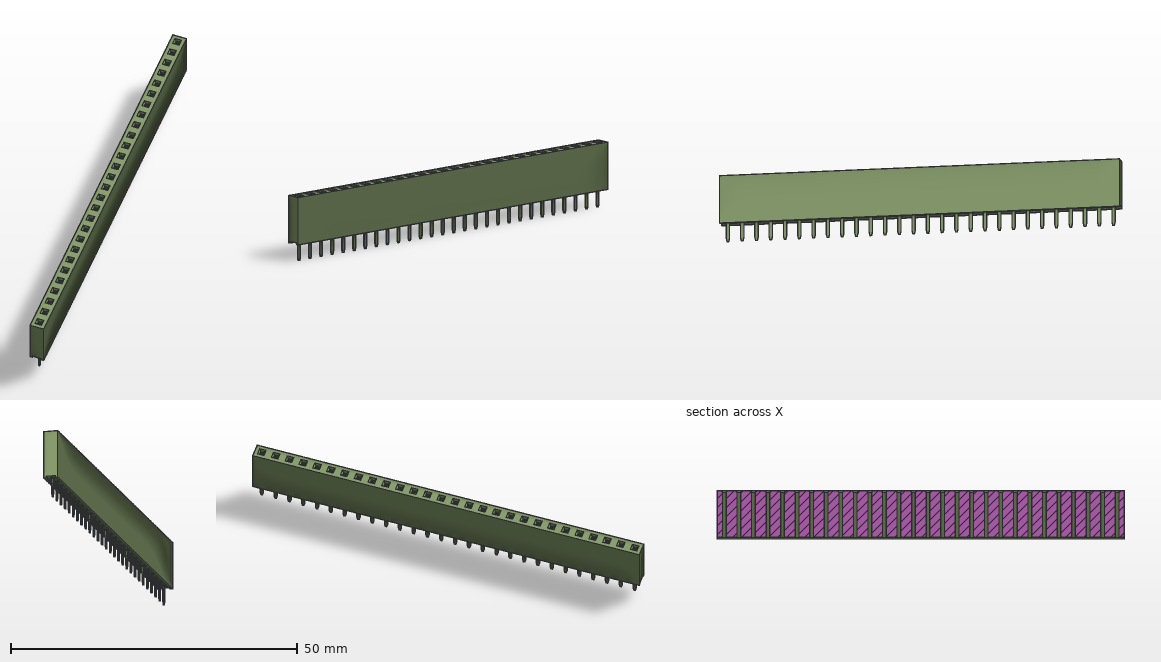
import cadquery as cq

contact_count = 28
length = 71.1
pitch = length / contact_count
width = pitch
housing_height = 8.45
total_height = 11.6

channel_width = 1.7
channel_depth = 0.3

pin_thickness = 0.2
pin_width = 0.6
tip_width = 0.3
tip_height = 0.6
pin_top = 6.7
pin_bottom = housing_height - total_height

mouth_size = 1.2
slot_size = pin_width
funnel_depth = (mouth_size - slot_size) / 2

first_contact_y = -(length - pitch) / 2
contact_positions = [first_contact_y + i * pitch for i in range(contact_count)]


def make_housing():
    """Bar with a full-length channel between two rails on its underside."""
    from_base = (True, True, False)
    bar = cq.Workplane("XY").box(width, length, housing_height, centered=from_base)
    channel = cq.Workplane("XY").box(channel_width, length, channel_depth, centered=from_base)
    return bar.cut(channel)


def make_socket():
    """Space of one socket: square funnel above a square slot that ends at the channel roof."""
    funnel = (
        cq.Workplane("XY", origin=(0, 0, housing_height))
        .rect(mouth_size, mouth_size)
        .workplane(offset=-funnel_depth)
        .rect(slot_size, slot_size)
        .loft(combine=True)
    )
    slot = (
        cq.Workplane("XY", origin=(0, 0, channel_depth))
        .rect(slot_size, slot_size)
        .extrude(housing_height - funnel_depth - channel_depth)
    )
    return funnel.union(slot)


def make_pin():
    """Flat pin that spans the slot in Y, its lower end tapered in Y."""
    shoulder = pin_bottom + tip_height
    outline = [
        (-pin_width / 2, pin_top),
        (-pin_width / 2, shoulder),
        (-tip_width / 2, pin_bottom),
        (tip_width / 2, pin_bottom),
        (pin_width / 2, shoulder),
        (pin_width / 2, pin_top),
    ]
    return cq.Workplane("YZ").polyline(outline).close().extrude(pin_thickness / 2, both=True)


def at_each_contact(shape):
    """Copies of a shape at every contact position, as one compound."""
    solid = shape.val()
    copies = [solid.moved(cq.Location(cq.Vector(0, y, 0))) for y in contact_positions]
    return cq.Workplane(cq.Compound.makeCompound(copies))


housing = make_housing().cut(at_each_contact(make_socket()))
result = housing.union(at_each_contact(make_pin()))